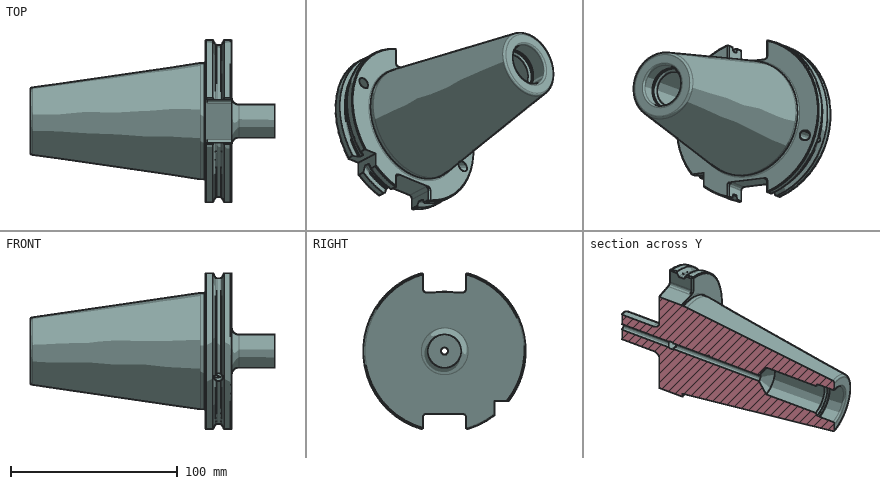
import math

import cadquery as cq

TAPER_RATE = 7 / 24
GAUGE_RADIUS = 69.85 / 2
TAPER_LENGTH = 101.75
SMALL_END_ROUND = 1.5

FLANGE_START = 3.2
FLANGE_END = 19.1
FLANGE_RADIUS = 97.5 / 2
FLANGE_FRONT_BEVEL = 0.5
FLANGE_BACK_ROUND = 1.0
COLLAR_ROUND = 0.8

GROOVE_CENTER = 11.1
GROOVE_FLOOR_RADIUS = 91.25 / 2
GROOVE_FLOOR_HALF_WIDTH = 1.75
GROOVE_FLANK_ANGLE = 27
GROOVE_CORNER_ROUND = 0.9

SHANK_RADIUS = 20 / 2
SHANK_END = 44.85
SHANK_FILLET = 4.0

SLOT_WIDTH = 25.7
SLOT_CORNER_ROUND = 2.0
SLOT_EDGE_BEVEL = 1.0
RIM_BEVEL_DEPTH = 0.6
UPPER_SLOT_FLOOR = 35.2
LOWER_SLOT_FLOOR = 37.7

NOTCH_Y = 30.0
NOTCH_Z = -30.0

BORE_RADIUS = 25 / 2
BORE_DEPTH = 10.3
STEP_BORE_RADIUS = 24.6 / 2
STEP_BORE_END = 11.9
BORE_MOUTH_ROUND = 1.2
THREAD_RADIUS = 21 / 2
THREAD_LEAD_ANGLE = 30
THREAD_DEPTH = 47.0
DRILL_POINT_ANGLE = 118
COOLANT_BORE_RADIUS = 4.1 / 2

PORT_ANGLE = 20
PORT_RADIUS = 6.0 / 2
PORT_PITCH_RADIUS = 42.1
PORT_TILT = 32
CROSS_HOLE_RADIUS = 5.0 / 2

MARGIN = 5.0


def revolve_about_x(outline):
    """Close an outline of (X, radius) points and turn it into a solid around the part axis."""
    return outline.close().revolve(360, (0, 0, 0), (1, 0, 0))


def turn_about_x(shape, angle):
    """Rotate a shape around the part axis, in degrees."""
    return shape.rotate((0, 0, 0), (1, 0, 0), angle)


def make_body():
    """Taper, flange and shank turned as one outline."""
    small_radius = GAUGE_RADIUS - TAPER_LENGTH * TAPER_RATE / 2
    outline = (
        cq.Workplane("XZ")
        .moveTo(-TAPER_LENGTH, 0)
        .lineTo(-TAPER_LENGTH, small_radius)
        .lineTo(0, GAUGE_RADIUS)
        .lineTo(FLANGE_START - COLLAR_ROUND, GAUGE_RADIUS)
        .radiusArc((FLANGE_START, GAUGE_RADIUS + COLLAR_ROUND), -COLLAR_ROUND)
        .lineTo(FLANGE_START, FLANGE_RADIUS - FLANGE_FRONT_BEVEL)
        .lineTo(FLANGE_START + FLANGE_FRONT_BEVEL, FLANGE_RADIUS)
        .lineTo(FLANGE_END - FLANGE_BACK_ROUND, FLANGE_RADIUS)
        .radiusArc((FLANGE_END, FLANGE_RADIUS - FLANGE_BACK_ROUND), FLANGE_BACK_ROUND)
        .lineTo(FLANGE_END, SHANK_RADIUS + SHANK_FILLET)
        .radiusArc((FLANGE_END + SHANK_FILLET, SHANK_RADIUS), -SHANK_FILLET)
        .lineTo(SHANK_END, SHANK_RADIUS)
        .lineTo(SHANK_END, 0)
    )
    return revolve_about_x(outline).faces("<X").edges().fillet(SMALL_END_ROUND)


def make_groove():
    """Ring with sloped flanks and rounded floor corners, cut into the flange rim."""
    angle = math.radians(GROOVE_FLANK_ANGLE)
    top_radius = FLANGE_RADIUS + MARGIN
    top_half_width = GROOVE_FLOOR_HALF_WIDTH + (top_radius - GROOVE_FLOOR_RADIUS) * math.tan(angle)
    tangent = GROOVE_CORNER_ROUND * math.tan(math.pi / 4 - angle / 2)
    floor_half_width = GROOVE_FLOOR_HALF_WIDTH - tangent
    flank_half_width = GROOVE_FLOOR_HALF_WIDTH + tangent * math.sin(angle)
    flank_radius = GROOVE_FLOOR_RADIUS + tangent * math.cos(angle)
    outline = (
        cq.Workplane("XZ")
        .moveTo(GROOVE_CENTER - top_half_width, top_radius)
        .lineTo(GROOVE_CENTER - flank_half_width, flank_radius)
        .radiusArc((GROOVE_CENTER - floor_half_width, GROOVE_FLOOR_RADIUS), -GROOVE_CORNER_ROUND)
        .lineTo(GROOVE_CENTER + floor_half_width, GROOVE_FLOOR_RADIUS)
        .radiusArc((GROOVE_CENTER + flank_half_width, flank_radius), -GROOVE_CORNER_ROUND)
        .lineTo(GROOVE_CENTER + top_half_width, top_radius)
    )
    return revolve_about_x(outline)


def make_bore():
    """Stepped bore from the small end, with a conical bottom and a through coolant hole."""
    mouth = -TAPER_LENGTH
    step = mouth + BORE_DEPTH
    step_end = mouth + STEP_BORE_END
    lead_length = (STEP_BORE_RADIUS - THREAD_RADIUS) * math.tan(math.radians(THREAD_LEAD_ANGLE))
    thread_end = mouth + THREAD_DEPTH
    half_point = math.radians(DRILL_POINT_ANGLE / 2)
    point_length = (THREAD_RADIUS - COOLANT_BORE_RADIUS) / math.tan(half_point)
    outline = (
        cq.Workplane("XZ")
        .moveTo(mouth, 0)
        .lineTo(mouth, BORE_RADIUS + BORE_MOUTH_ROUND)
        .radiusArc((mouth + BORE_MOUTH_ROUND, BORE_RADIUS), -BORE_MOUTH_ROUND)
        .lineTo(step, BORE_RADIUS)
        .lineTo(step + BORE_RADIUS - STEP_BORE_RADIUS, STEP_BORE_RADIUS)
        .lineTo(step_end, STEP_BORE_RADIUS)
        .lineTo(step_end + lead_length, THREAD_RADIUS)
        .lineTo(thread_end, THREAD_RADIUS)
        .lineTo(thread_end + point_length, COOLANT_BORE_RADIUS)
        .lineTo(SHANK_END + MARGIN, COOLANT_BORE_RADIUS)
        .lineTo(SHANK_END + MARGIN, 0)
    )
    return revolve_about_x(outline)


def slot_outline(half_width, floor, side):
    """Slot section with rounded floor corners, in the YZ plane at the flange front face."""
    top = FLANGE_RADIUS + MARGIN
    corner = floor + SLOT_CORNER_ROUND
    floor_half = half_width - SLOT_CORNER_ROUND
    inset = SLOT_CORNER_ROUND * (1 - math.sqrt(0.5))
    arc_y = half_width - inset
    arc_z = floor + inset
    return (
        cq.Workplane("YZ", origin=(FLANGE_START, 0, 0))
        .moveTo(-half_width, side * top)
        .lineTo(-half_width, side * corner)
        .threePointArc((-arc_y, side * arc_z), (-floor_half, side * floor))
        .lineTo(floor_half, side * floor)
        .threePointArc((arc_y, side * arc_z), (half_width, side * corner))
        .lineTo(half_width, side * top)
        .close()
    )


def make_slot(floor, side):
    """Drive slot through the flange; side is +1 for the +Z slot and -1 for the -Z slot."""
    return slot_outline(SLOT_WIDTH / 2, floor, side).extrude(FLANGE_END - FLANGE_START)


def make_front_bevel(floor, side):
    """Tapered slot section that breaks the front-face edges of a drive slot."""
    wide = slot_outline(SLOT_WIDTH / 2 + SLOT_EDGE_BEVEL, floor, side).val()
    narrow = slot_outline(SLOT_WIDTH / 2, floor, side).val().translate(cq.Vector(SLOT_EDGE_BEVEL, 0, 0))
    return cq.Workplane(cq.Solid.makeLoft([wide, narrow], True))


def make_rim_bevel(side):
    """Wedge that breaks the edges between a drive slot and the flange rim."""
    half = SLOT_WIDTH / 2
    wide = half + SLOT_EDGE_BEVEL
    rim = math.sqrt(FLANGE_RADIUS ** 2 - wide ** 2)
    inner = rim - RIM_BEVEL_DEPTH
    outer = rim + MARGIN
    outline = [(-half, inner), (-wide, rim), (-wide, outer), (wide, outer), (wide, rim), (half, inner)]
    return (
        cq.Workplane("YZ", origin=(FLANGE_START, 0, 0))
        .polyline([(y, side * z) for y, z in outline])
        .close()
        .extrude(FLANGE_END - FLANGE_START)
    )


def make_notch():
    """Square corner cut through the flange on the +Y, -Z side."""
    reach = FLANGE_RADIUS + MARGIN
    return cq.Workplane("XY").box(
        FLANGE_END - FLANGE_START, reach, reach, centered=False
    ).translate((FLANGE_START, NOTCH_Y, NOTCH_Z - reach))


def make_face_port():
    """Coolant port that leans inward from the flange face to the cross hole."""
    tilt = math.radians(PORT_TILT)
    length = (GROOVE_CENTER - FLANGE_START) / math.cos(tilt)
    start = cq.Vector(
        FLANGE_START - MARGIN * math.cos(tilt),
        PORT_PITCH_RADIUS + MARGIN * math.sin(tilt),
        0,
    )
    direction = cq.Vector(math.cos(tilt), -math.sin(tilt), 0)
    port = cq.Solid.makeCylinder(PORT_RADIUS, MARGIN + length, start, direction)
    return cq.Workplane(port)


def make_cross_hole():
    """Hole drilled from the groove on the -Y side, through the axis, to the port on the +Y side."""
    start = cq.Vector(GROOVE_CENTER, -FLANGE_RADIUS, 0)
    length = FLANGE_RADIUS + PORT_PITCH_RADIUS
    hole = cq.Solid.makeCylinder(CROSS_HOLE_RADIUS, length, start, cq.Vector(0, 1, 0))
    return cq.Workplane(hole)


result = make_body().cut(make_groove()).cut(make_bore()).cut(make_notch())

for floor, side in ((UPPER_SLOT_FLOOR, 1), (LOWER_SLOT_FLOOR, -1)):
    result = result.cut(make_slot(floor, side))
    result = result.cut(make_front_bevel(floor, side))
    result = result.cut(make_rim_bevel(side))

for half_turn in (0, 180):
    result = result.cut(turn_about_x(make_face_port(), PORT_ANGLE + half_turn))

result = result.cut(turn_about_x(make_cross_hole(), PORT_ANGLE))